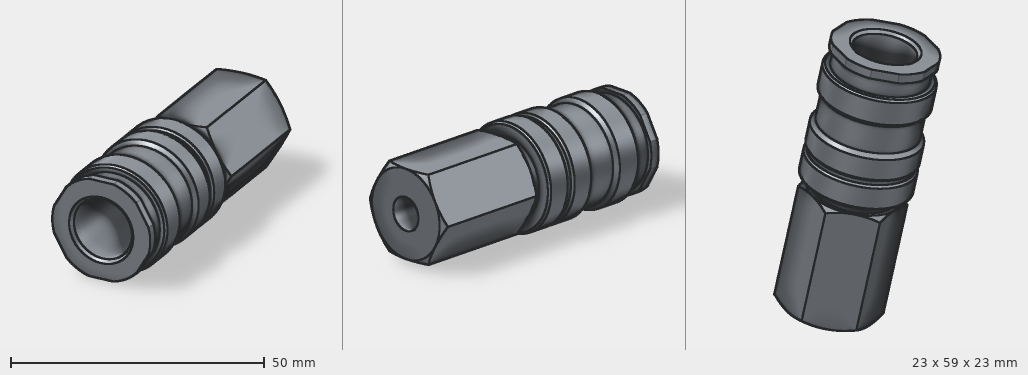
import cadquery as cq
import math

total_length = 59.0
flange_end = 2.0
sleeve_start = 5.7
sleeve_end = 30.6
hex_start = 32.85
waist_start = 12.15
waist_end = 18.2
groove_start = 24.2
groove_end = 25.1

sleeve_radius = 11.5
waist_radius = 10.55
groove_radius = 11.0
socket_neck_radius = 10.05
hex_neck_radius = 8.6
flange_radius = 11.0
flange_flats = 21.25
hex_flats = 19.0

sleeve_chamfer = 0.5
waist_chamfer = sleeve_radius - waist_radius
groove_chamfer = sleeve_radius - groove_radius
hex_chamfer_angle = 30.0

bore_radius = 6.5
bore_chamfer = 0.7
bore_depth = sleeve_end
hole_radius = 3.55


def revolve_profile(points):
    """Revolve a closed (radius, Y) outline about the Y axis."""
    return cq.Workplane("XY").polyline(points).close().revolve(360, (0, 0, 0), (0, 1, 0))


def hex_prism(across_flats, start, end):
    """Hexagonal bar along Y with corners on the X axis."""
    across_corners = across_flats / math.cos(math.radians(30))
    return (
        cq.Workplane("XZ", origin=(0, start, 0))
        .polygon(6, across_corners)
        .extrude(start - end)
    )


def cylinder(radius, start, end):
    """Round bar along Y."""
    return cq.Workplane("XZ", origin=(0, start, 0)).circle(radius).extrude(start - end)


def make_sleeve():
    """Chamfered sleeve with a wide waist and a narrow groove."""
    return revolve_profile([
        (0, sleeve_start),
        (sleeve_radius - sleeve_chamfer, sleeve_start),
        (sleeve_radius, sleeve_start + sleeve_chamfer),
        (sleeve_radius, waist_start - waist_chamfer),
        (waist_radius, waist_start),
        (waist_radius, waist_end),
        (sleeve_radius, waist_end + waist_chamfer),
        (sleeve_radius, groove_start - groove_chamfer),
        (groove_radius, groove_start),
        (groove_radius, groove_end),
        (sleeve_radius, groove_end + groove_chamfer),
        (sleeve_radius, sleeve_end - sleeve_chamfer),
        (sleeve_radius - sleeve_chamfer, sleeve_end),
        (0, sleeve_end),
    ])


def make_flange():
    """Thin round flange cut by six flats."""
    disc = cylinder(flange_radius, 0, flange_end)
    return disc.intersect(hex_prism(flange_flats, 0, flange_end))


def make_hex_body():
    """Hexagon whose corners are turned off conically at both ends."""
    face_radius = hex_flats / 2
    corner_radius = face_radius / math.cos(math.radians(30))
    cone_length = (corner_radius - face_radius) * math.tan(math.radians(hex_chamfer_angle))
    envelope = revolve_profile([
        (0, hex_start),
        (face_radius, hex_start),
        (corner_radius, hex_start + cone_length),
        (corner_radius, total_length - cone_length),
        (face_radius, total_length),
        (0, total_length),
    ])
    return hex_prism(hex_flats, hex_start, total_length).intersect(envelope)


def make_bore():
    """Chamfered blind socket continuing as a smaller through hole."""
    return revolve_profile([
        (0, 0),
        (bore_radius + bore_chamfer, 0),
        (bore_radius, bore_chamfer),
        (bore_radius, bore_depth),
        (hole_radius, bore_depth),
        (hole_radius, total_length),
        (0, total_length),
    ])


socket_neck = cylinder(socket_neck_radius, flange_end, sleeve_start)
hex_neck = cylinder(hex_neck_radius, sleeve_end, hex_start)

result = (
    make_flange()
    .union(socket_neck)
    .union(make_sleeve())
    .union(hex_neck)
    .union(make_hex_body())
    .cut(make_bore())
)